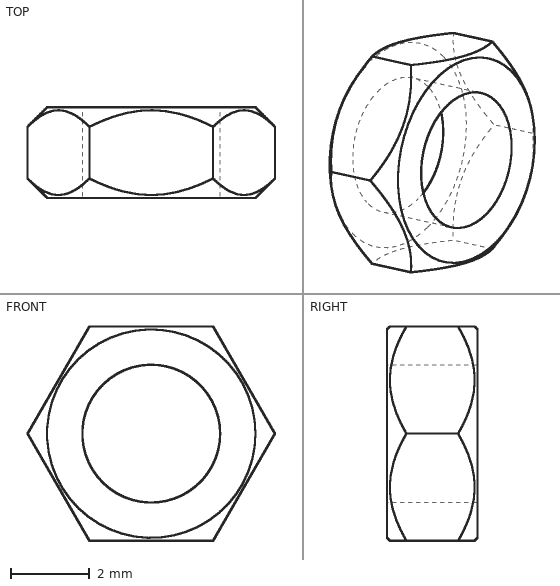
import cadquery as cq

across_corners = 6.29
thickness = 2.31
bore_diameter = 3.5
face_diameter = 5.295

corner_radius = across_corners / 2
face_radius = face_diameter / 2
chamfer = corner_radius - face_radius


def hexagonal_blank():
    return (
        cq.Workplane("XZ")
        .polygon(6, across_corners)
        .circle(bore_diameter / 2)
        .extrude(thickness / 2, both=True)
    )


def chamfer_envelope():
    """Round body through the hexagon corners, coned at both ends."""
    return (
        cq.Workplane("XZ")
        .circle(corner_radius)
        .extrude(thickness / 2, both=True)
        .edges("%CIRCLE")
        .chamfer(chamfer)
    )


result = hexagonal_blank().intersect(chamfer_envelope())